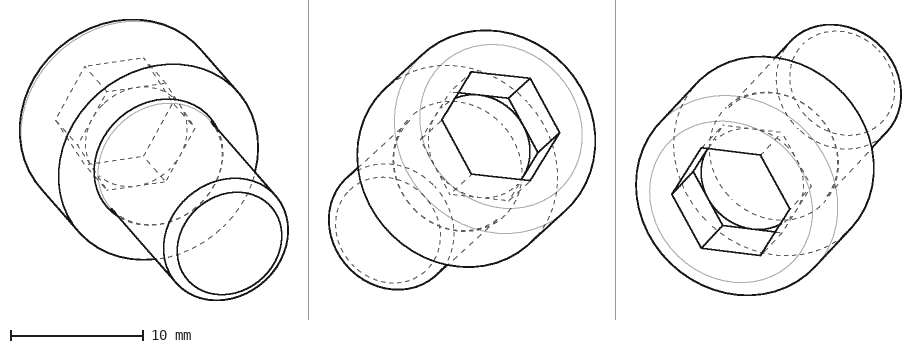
import cadquery as cq
import math

total_length = 26.0
head_diameter = 16.0
head_length = 10.0
head_edge_radius = 1.5
shank_diameter = 9.98
tip_chamfer = 0.8

neck_length = 0.4
neck_flare = 0.15

socket_across_flats = 8.15
socket_depth = 5.0
socket_cone_angle = 120.0

head_radius = head_diameter / 2
shank_radius = shank_diameter / 2
head_face = -total_length / 2
head_underside = head_face + head_length
shank_tip = total_length / 2


def make_body():
    """Revolve the half profile of head, neck and shank about X."""
    arc_inset = head_edge_radius * (1 - math.sqrt(0.5))
    neck_radius = (neck_length**2 + neck_flare**2) / (2 * neck_flare)
    half_angle = math.asin(neck_length / neck_radius) / 2
    neck_end = head_underside + neck_length
    neck_middle = (
        neck_end - neck_radius * math.sin(half_angle),
        shank_radius + neck_radius * (1 - math.cos(half_angle)),
    )
    profile = (
        cq.Workplane("XY")
        .moveTo(head_face, 0)
        .lineTo(head_face, head_radius - head_edge_radius)
        .threePointArc(
            (head_face + arc_inset, head_radius - arc_inset),
            (head_face + head_edge_radius, head_radius),
        )
        .lineTo(head_underside, head_radius)
        .lineTo(head_underside, shank_radius + neck_flare)
        .threePointArc(neck_middle, (neck_end, shank_radius))
        .lineTo(shank_tip - tip_chamfer, shank_radius)
        .lineTo(shank_tip, shank_radius - tip_chamfer)
        .lineTo(shank_tip, 0)
        .close()
    )
    return profile.revolve(360, (0, 0, 0), (1, 0, 0))


def make_socket():
    """Hexagon with corners along Y, ending in a cone as wide as its flats."""
    corner_diameter = socket_across_flats / math.cos(math.radians(30))
    hexagon = (
        cq.Workplane("YZ", origin=(head_face, 0, 0))
        .polygon(6, corner_diameter)
        .extrude(socket_depth)
    )
    cone_radius = socket_across_flats / 2
    cone_depth = cone_radius / math.tan(math.radians(socket_cone_angle / 2))
    socket_floor = head_face + socket_depth
    cone = (
        cq.Workplane("XY")
        .moveTo(socket_floor, 0)
        .lineTo(socket_floor, cone_radius)
        .lineTo(socket_floor + cone_depth, 0)
        .close()
        .revolve(360, (0, 0, 0), (1, 0, 0))
    )
    return hexagon.union(cone)


result = make_body().cut(make_socket())